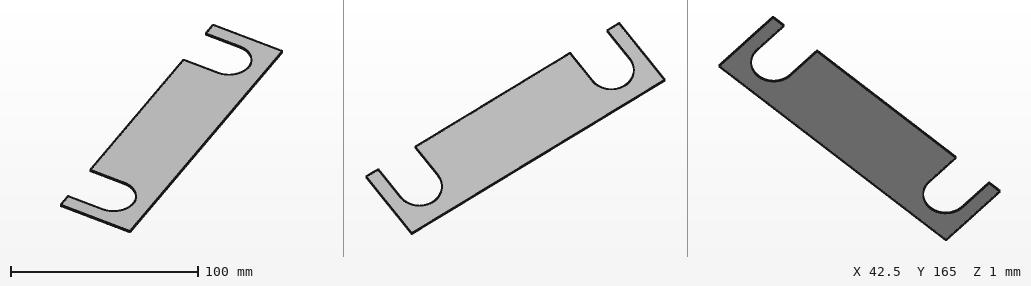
import cadquery as cq

plate_width = 42.5
plate_length = 165.0
plate_thickness = 1.0

slot_width = 24.1
slot_depth = 33.2
slot_spacing = 125.0


def open_slot(center_y):
    """Cutter for a slot running from the -X edge to a semicircular end."""
    radius = slot_width / 2
    edge_x = -plate_width / 2
    tip_x = edge_x + slot_depth
    arc_x = tip_x - radius
    return (
        cq.Workplane("XY")
        .moveTo(edge_x, center_y - radius)
        .lineTo(arc_x, center_y - radius)
        .threePointArc((tip_x, center_y), (arc_x, center_y + radius))
        .lineTo(edge_x, center_y + radius)
        .close()
        .extrude(plate_thickness)
    )


result = cq.Workplane("XY").box(
    plate_width, plate_length, plate_thickness, centered=(True, True, False)
)
for side in (-1, 1):
    result = result.cut(open_slot(side * slot_spacing / 2))